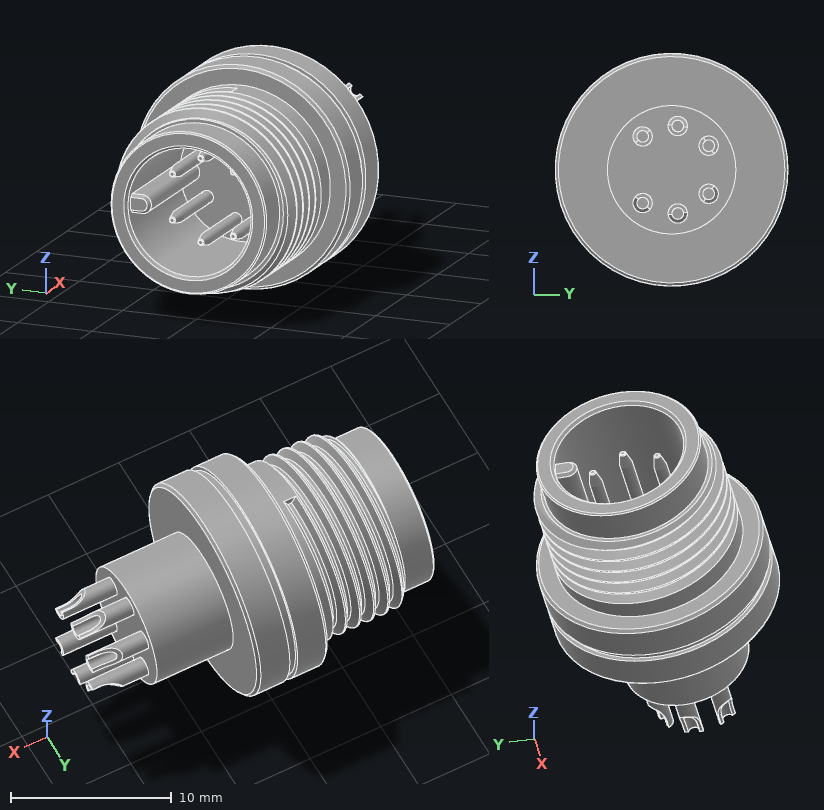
import cadquery as cq
import math


thread_start = 2.2
flange_front = 8.6
flange_length = 5.0
flange_back = flange_front + flange_length
insert_back = 19.0
overall_length = 22.8

neck_radius = 5.25
neck_chamfer = 0.1
flange_radius = 7.25
flange_chamfer = 0.2
groove_radius = 6.97
groove_start = 10.8
groove_width = 0.55
bore_radius = 4.15
bore_chamfer = 0.2

thread_radius = 6.0
thread_lead_in = 0.5
thread_pitch = 1.0
thread_depth = 0.55
thread_crest = 0.12
thread_turns = 6
thread_half_angle = math.radians(30)
thread_overcut = 0.05
thread_runout = 7.43

socket_floor = flange_front
insert_shoulder = 11.0
insert_radius = 4.0
key_front = 0.6
key_width = 1.22
key_tip = 2.82
key_chamfer = 0.2

contact_circle_radius = 2.75
contact_pitch_angle = 49.0
contact_slots = (-3, -2, -1, 1, 2, 3)
pin_radius = 0.41
pin_tip = 2.9
pin_tip_radius = 0.2
pin_tip_chamfer = 0.06
pin_cone_length = 0.97
cup_radius = 0.6
cup_bore_radius = 0.36
cup_bore_depth = 2.0
cup_start = insert_shoulder
cup_cut_start = 20.8
cup_cut_flat = 0.55


def cylinder_x(radius, start, end):
    return cq.Workplane("YZ", origin=(start, 0, 0)).circle(radius).extrude(end - start)


def revolve_x(points):
    """Revolve a closed (x, radius) outline about the X axis."""
    return cq.Workplane("XY").polyline(points).close().revolve(360, (0, 0, 0), (1, 0, 0))


def make_thread_groove():
    """Right-handed V groove with a flat root that ends at the +Z side of the axis."""
    root_radius = thread_radius - thread_depth
    outer_radius = thread_radius + thread_overcut
    outer_half = (thread_pitch - thread_crest) / 2 + thread_overcut * math.tan(thread_half_angle)
    root_half = outer_half - (outer_radius - root_radius) * math.tan(thread_half_angle)
    groove_length = thread_turns * thread_pitch
    path = cq.Workplane(cq.Wire.makeHelix(thread_pitch, groove_length, root_radius))
    groove = (
        cq.Workplane("XZ")
        .polyline([
            (root_radius, -root_half),
            (outer_radius, -outer_half),
            (outer_radius, outer_half),
            (root_radius, root_half),
        ])
        .close()
        .sweep(path, isFrenet=True)
    )
    groove = groove.rotate((0, 0, 0), (1, 0, 1), 180)
    return groove.translate((thread_runout - groove_length, 0, 0))


def make_housing():
    groove_end = groove_start + groove_width
    body = revolve_x([
        (0, 0),
        (0, neck_radius - neck_chamfer),
        (neck_chamfer, neck_radius),
        (thread_start, neck_radius),
        (thread_start, thread_radius - thread_lead_in),
        (thread_start + thread_lead_in, thread_radius),
        (flange_front, thread_radius),
        (flange_front, flange_radius - flange_chamfer),
        (flange_front + flange_chamfer, flange_radius),
        (groove_start, flange_radius),
        (groove_start, groove_radius),
        (groove_end, groove_radius),
        (groove_end, flange_radius),
        (flange_back - flange_chamfer, flange_radius),
        (flange_back, flange_radius - flange_chamfer),
        (flange_back, 0),
    ])
    bore = revolve_x([
        (0, 0),
        (0, bore_radius + bore_chamfer),
        (bore_chamfer, bore_radius),
        (insert_shoulder, bore_radius),
        (insert_shoulder, insert_radius),
        (flange_back, insert_radius),
        (flange_back, 0),
    ])
    return body.cut(bore).cut(make_thread_groove())


def make_key():
    """Round-nosed polarising rib on the +Y side, trimmed to the bore."""
    half_width = key_width / 2
    nose_center = key_tip + half_width
    rib = (
        cq.Workplane("YZ", origin=(key_front, 0, 0))
        .moveTo(thread_radius, -half_width)
        .lineTo(nose_center, -half_width)
        .threePointArc((key_tip, 0), (nose_center, half_width))
        .lineTo(thread_radius, half_width)
        .close()
        .extrude(socket_floor - key_front)
        .faces("<X")
        .chamfer(key_chamfer)
    )
    return rib.intersect(cylinder_x(bore_radius, key_front, socket_floor))


def make_contact():
    """Contact on the X axis: a tapered pin in front and a solder cup, open towards +Y, behind."""
    tip_edge = pin_tip + pin_tip_chamfer
    contact = revolve_x([
        (pin_tip, 0),
        (pin_tip, pin_tip_radius - pin_tip_chamfer),
        (tip_edge, pin_tip_radius),
        (pin_tip + pin_cone_length, pin_radius),
        (cup_start, pin_radius),
        (cup_start, cup_radius),
        (overall_length, cup_radius),
        (overall_length, 0),
    ])
    cup_bore = cylinder_x(cup_bore_radius, overall_length - cup_bore_depth, overall_length)

    flat_start = overall_length - cup_cut_flat
    arc_run = flat_start - cup_cut_start
    arc_radius = (arc_run**2 + cup_radius**2) / (2 * cup_radius)
    half_sweep = math.asin(arc_run / arc_radius) / 2
    arc_middle = (
        flat_start - arc_radius * math.sin(half_sweep),
        arc_radius * (1 - math.cos(half_sweep)),
    )
    cup_cut = (
        cq.Workplane("XY")
        .moveTo(cup_cut_start, cup_radius)
        .threePointArc(arc_middle, (flat_start, 0))
        .lineTo(overall_length, 0)
        .lineTo(overall_length, cup_radius)
        .close()
        .extrude(cup_radius, both=True)
    )
    return contact.cut(cup_bore).cut(cup_cut)


def place_on_contact_circle(shape, slot):
    """Set a shape at its slot; slots are counted from -Y, where slot 0 stays empty."""
    angle = 180 + slot * contact_pitch_angle
    return shape.translate((0, contact_circle_radius, 0)).rotate((0, 0, 0), (1, 0, 0), angle)


def make_insert():
    insert = cylinder_x(bore_radius, socket_floor, insert_shoulder)
    insert = insert.union(cylinder_x(insert_radius, insert_shoulder, insert_back))
    insert = insert.union(make_key())
    pin_hole = cylinder_x(pin_radius, socket_floor, cup_start)
    cup_hole = cylinder_x(cup_radius, cup_start, insert_back)
    contact_hole = pin_hole.union(cup_hole)
    for slot in contact_slots:
        insert = insert.cut(place_on_contact_circle(contact_hole, slot))
    return insert


housing = make_housing()
insert = make_insert()
contact = make_contact()
contacts = [place_on_contact_circle(contact, slot).val() for slot in contact_slots]

result = cq.Compound.makeCompound([housing.val(), insert.val(), *contacts])